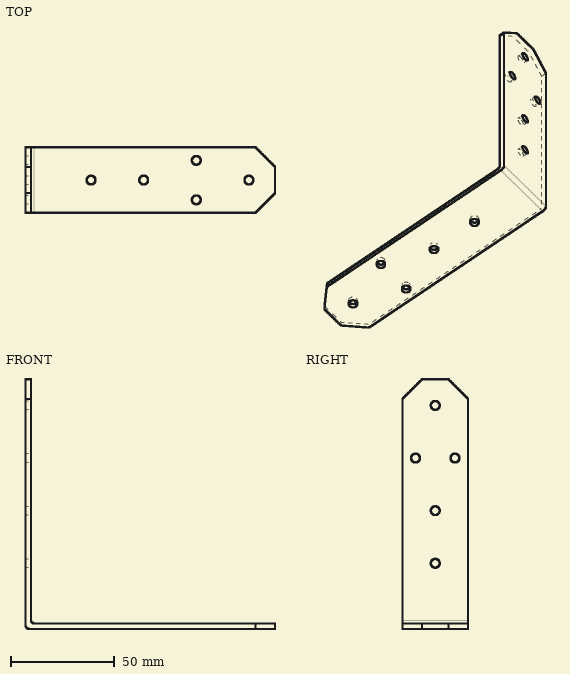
import cadquery as cq

leg_length = 120.65
width = 31.75
thickness = 2.8
inner_bend_radius = 1.4
outer_bend_radius = 2.1
corner_cut = 9.525

hole_diameter = 4.1656
tip_hole_distance = 12.7
hole_pitch = 25.4
pair_offset = 9.525

tip_hole = leg_length - tip_hole_distance
hole_positions = [
    (tip_hole, 0),
    (tip_hole - hole_pitch, pair_offset),
    (tip_hole - hole_pitch, -pair_offset),
    (tip_hole - 2 * hole_pitch, 0),
    (tip_hole - 3 * hole_pitch, 0),
]

horizontal_leg = cq.Plane(origin=(0, 0, 0), xDir=(1, 0, 0), normal=(0, 0, 1))
vertical_leg = cq.Plane(origin=(0, 0, 0), xDir=(0, 0, 1), normal=(1, 0, 0))


def bent_strip():
    """L-shaped strip with a rounded bend, centred on Y, outer corner at the origin."""
    outer_corner = (0, 0, 0)
    inner_corner = (thickness, 0, thickness)
    profile = (
        cq.Workplane("XZ")
        .polyline([
            (0, 0),
            (leg_length, 0),
            (leg_length, thickness),
            (thickness, thickness),
            (thickness, leg_length),
            (0, leg_length),
        ])
        .close()
    )
    strip = profile.extrude(width / 2, both=True)
    strip = strip.edges(cq.selectors.NearestToPointSelector(outer_corner)).fillet(outer_bend_radius)
    return strip.edges(cq.selectors.NearestToPointSelector(inner_corner)).fillet(inner_bend_radius)


def trim_tips(strip):
    """Cut both corners at the tip of each leg at 45 degrees."""
    return (
        strip.faces(">X").edges("|Z").chamfer(corner_cut)
        .faces(">Z").edges("|X").chamfer(corner_cut)
    )


def drill_leg(bracket, leg_plane):
    """Drill the hole pattern through the leg lying in the given plane."""
    drills = (
        cq.Workplane(leg_plane)
        .pushPoints(hole_positions)
        .circle(hole_diameter / 2)
        .extrude(thickness)
    )
    return bracket.cut(drills)


result = trim_tips(bent_strip())
result = drill_leg(result, horizontal_leg)
result = drill_leg(result, vertical_leg)